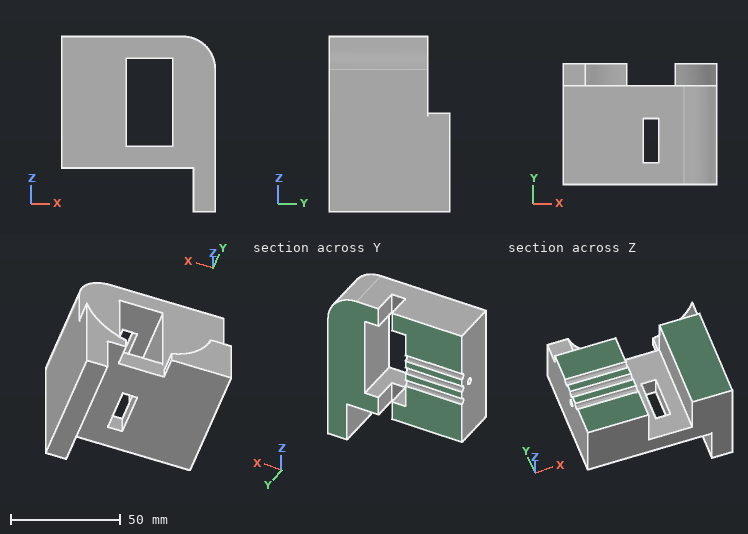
import cadquery as cq

body_width = 70.0
body_depth = 45.0
body_height = 60.0
corner_radius = 15.0

leg_width = 10.0
leg_height = 20.0

jaw_depth = 10.0
jaw_height = 25.0
jaw_top_width = 10.0
jaw_lip_height = 5.0
jaw_flank_radius = 30.0
jaw_gap = 22.0

opening_x = 40.0
window_width = 21.0
window_height = 40.0
slot_width = 7.0
slot_length = 20.0
slot_y = 20.0

hole_diameter = 3.0
hole_pitch = 7.0

total_depth = body_depth + jaw_depth
body_bottom = leg_height
body_middle_z = body_bottom + body_height / 2
leg_x = body_width - leg_width


def box_from_corner(size, corner):
    """Box of the given size whose lowest-coordinate corner sits at corner."""
    return cq.Workplane("XY").box(*size, centered=False).translate(corner)


def make_body():
    """Main block with its top +X edge rounded."""
    block = box_from_corner((body_width, body_depth, body_height), (0, 0, body_bottom))
    return block.edges("|Y and >X and >Z").fillet(corner_radius)


def make_leg():
    """Plate under the +X end, running the full depth of body and jaws."""
    return box_from_corner((leg_width, total_depth, leg_height), (leg_x, 0, 0))


def make_jaws():
    """Two facing jaws behind the body; the +X one ends flush with the body side."""
    inner_x = opening_x - jaw_gap / 2
    jaw_top = body_bottom + jaw_height
    left_jaw = (
        cq.Workplane("XZ", origin=(0, body_depth, 0))
        .moveTo(0, body_bottom)
        .lineTo(inner_x, body_bottom)
        .lineTo(inner_x, body_bottom + jaw_lip_height)
        .radiusArc((jaw_top_width, jaw_top), jaw_flank_radius)
        .lineTo(0, jaw_top)
        .close()
        .extrude(-jaw_depth)
    )
    right_jaw = left_jaw.mirror("YZ", (opening_x, 0, 0))
    side_limit = box_from_corner(
        (body_width, jaw_depth, jaw_height), (0, body_depth, body_bottom)
    )
    return left_jaw.union(right_jaw.intersect(side_limit))


def make_window():
    """Rectangular opening through the body from front to back."""
    return box_from_corner(
        (window_width, body_depth, window_height),
        (opening_x - window_width / 2, 0, body_middle_z - window_height / 2),
    )


def make_slot():
    """Narrow slot through the walls above and below the window."""
    return box_from_corner(
        (slot_width, slot_length, body_height),
        (opening_x - slot_width / 2, slot_y - slot_length / 2, body_bottom),
    )


def make_side_holes():
    """Cross of five holes from the -X face into the window."""
    centers = [(0, 0), (hole_pitch, 0), (-hole_pitch, 0), (0, hole_pitch), (0, -hole_pitch)]
    return (
        cq.Workplane("YZ", origin=(0, body_depth / 2, body_middle_z))
        .pushPoints(centers)
        .circle(hole_diameter / 2)
        .extrude(opening_x)
    )


result = make_body().union(make_leg()).union(make_jaws())
result = result.cut(make_window()).cut(make_slot()).cut(make_side_holes())